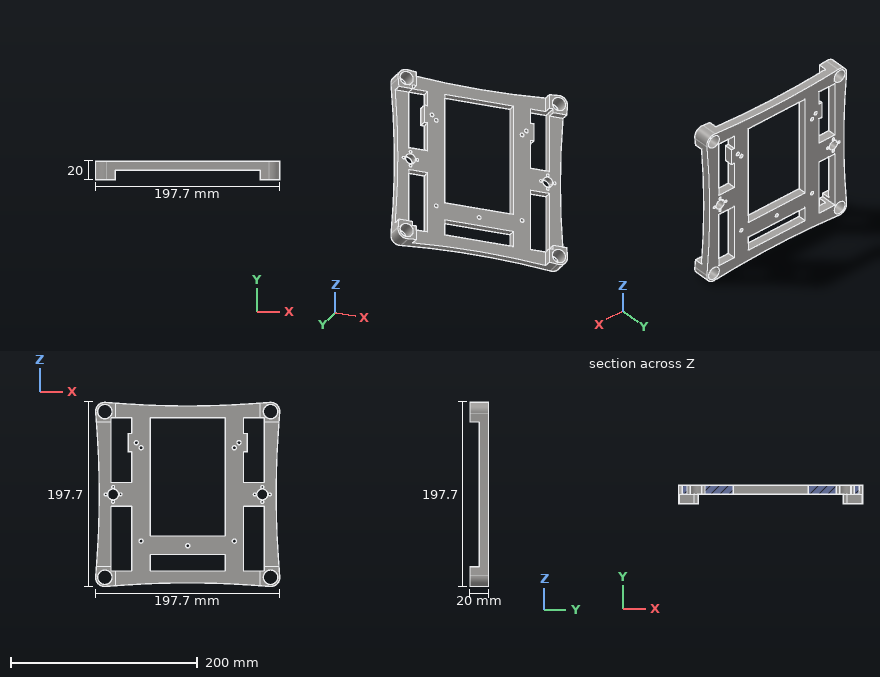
import cadquery as cq
import math

plate_thickness = 10.0
boss_height = 10.0

half_size = 98.87
boss_offset = 88.8
boss_radius = half_size - boss_offset
boss_bore = 15.2
boss_inner = 77.5

side_middle = 94.85
side_end = 87.0

window_limit = 82.0
center_window_half_width = 40.0
side_window_inner = 60.0
motor_bar_half_height = 12.9

crossbar_center = -54.5
crossbar_width = 20.0

tab_reach = 64.0
tab_center = 55.5
tab_height = 20.0

screw_diameter = 4.2
screw_offset = 50.0
extra_screw_offset = 55.0
extra_screw_height = 55.5

motor_offset = 80.0
motor_bore = 11.5
motor_screw_radius = 8.0
motor_screw_diameter = 3.0
motor_screw_count = 4

SIDES = (-1, 1)
CORNERS = [(sx, sz) for sx in SIDES for sz in SIDES]


def extrude_along_y(sketch, start, length):
    """Extrude an XZ workplane sketch from Y = start to Y = start + length."""
    return sketch.extrude(-length).translate((0, start, 0))


def xz_sketch():
    return cq.Workplane("XZ")


def outer_body():
    """Full-height block with concave sides that run into rounded corners."""
    join_out = boss_offset + math.sqrt(boss_radius**2 - (boss_offset - side_end) ** 2)
    corner_tip = boss_offset + boss_radius / math.sqrt(2)

    outline = (
        xz_sketch()
        .moveTo(-side_end, join_out)
        .threePointArc((0, side_middle), (side_end, join_out))
        .threePointArc((corner_tip, corner_tip), (join_out, side_end))
        .threePointArc((side_middle, 0), (join_out, -side_end))
        .threePointArc((corner_tip, -corner_tip), (side_end, -join_out))
        .threePointArc((0, -side_middle), (-side_end, -join_out))
        .threePointArc((-corner_tip, -corner_tip), (-join_out, -side_end))
        .threePointArc((-side_middle, 0), (-join_out, side_end))
        .threePointArc((-corner_tip, corner_tip), (-side_end, join_out))
        .close()
    )
    return extrude_along_y(outline, -boss_height, boss_height + plate_thickness)


def box_between(x_range, z_range, y_range):
    (x0, x1), (z0, z1), (y0, y1) = x_range, z_range, y_range
    box = cq.Workplane("XY").box(x1 - x0, y1 - y0, z1 - z0)
    return box.translate(((x0 + x1) / 2, (y0 + y1) / 2, (z0 + z1) / 2))


def relief_between_bosses():
    """Cross-shaped volume that lowers everything but the corners to plate level."""
    inner = (-boss_inner, boss_inner)
    across = (-half_size, half_size)
    depth = (-boss_height, 0)
    return box_between(inner, across, depth).union(box_between(across, inner, depth))


def window(x_range, z_range):
    return box_between(x_range, z_range, (-boss_height, plate_thickness))


def center_windows():
    width = (-center_window_half_width, center_window_half_width)
    crossbar_top = crossbar_center + crossbar_width / 2
    crossbar_bottom = crossbar_center - crossbar_width / 2
    upper = window(width, (crossbar_top, window_limit))
    lower = window(width, (-window_limit, crossbar_bottom))
    return upper.union(lower)


def side_windows():
    """Right-hand pair of windows, the upper one notched by a tab."""
    width = (side_window_inner, window_limit)
    tab = window(
        (side_window_inner, tab_reach),
        (tab_center - tab_height / 2, tab_center + tab_height / 2),
    )
    upper = window(width, (motor_bar_half_height, window_limit)).cut(tab)
    lower = window(width, (-window_limit, -motor_bar_half_height))
    return upper.union(lower)


def holes(points, diameter):
    circles = xz_sketch().pushPoints(points).circle(diameter / 2)
    return extrude_along_y(circles, -boss_height, boss_height + plate_thickness)


def motor_screw_points(center_x):
    angles = [2 * math.pi * i / motor_screw_count for i in range(motor_screw_count)]
    return [
        (center_x + motor_screw_radius * math.cos(a), motor_screw_radius * math.sin(a))
        for a in angles
    ]


boss_points = [(sx * boss_offset, sz * boss_offset) for sx, sz in CORNERS]
screw_points = [(sx * screw_offset, sz * screw_offset) for sx, sz in CORNERS]
screw_points += [(s * extra_screw_offset, extra_screw_height) for s in SIDES]
screw_points += [(0, -extra_screw_offset)]

result = outer_body().cut(relief_between_bosses()).cut(center_windows())
result = result.cut(side_windows()).cut(side_windows().mirror("YZ"))
result = result.cut(holes(boss_points, boss_bore)).cut(holes(screw_points, screw_diameter))

for side in SIDES:
    motor_x = side * motor_offset
    result = result.cut(holes([(motor_x, 0)], motor_bore))
    result = result.cut(holes(motor_screw_points(motor_x), motor_screw_diameter))